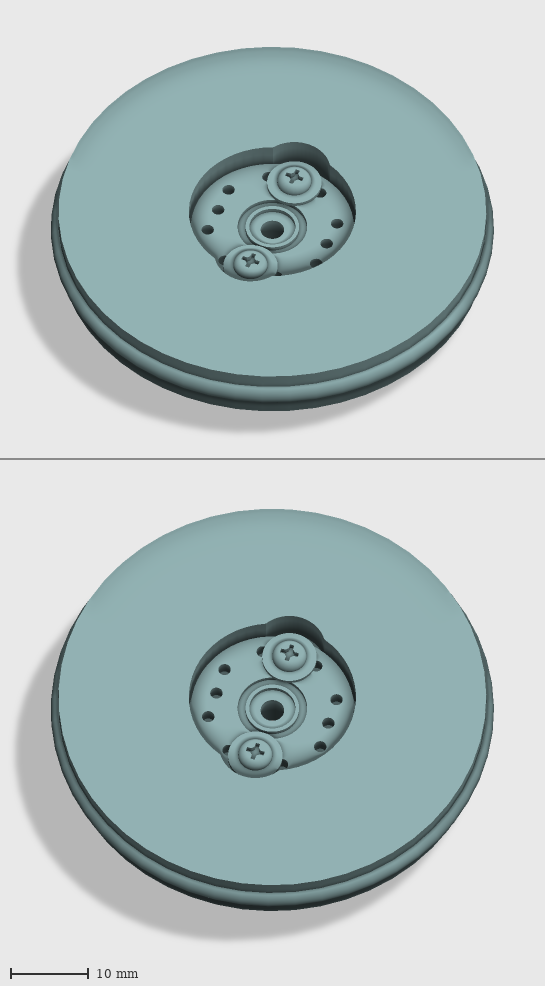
import cadquery as cq
wheel_diameter = 55.0
wheel_height = 7.0
wheel_bottom = 0.0
wheel_top = wheel_bottom + wheel_height
wheel_middle = wheel_bottom + wheel_height / 2

tyre_outer_diameter = 57.0
tyre_cord_diameter = 3.0
tyre_center_radius = (tyre_outer_diameter - tyre_cord_diameter) / 2

pocket_diameter = 21.5
lobe_diameter = 9.3
hub_top_depth = 3.0
hub_top = wheel_top - hub_top_depth

hub_disc_diameter = 21.0
hub_disc_thickness = 2.0
pocket_floor = hub_top - hub_disc_thickness
hub_boss_diameter = 8.8
hub_boss_bottom = wheel_bottom - 2.1
shaft_hole_diameter = 3.0
collar_outer_diameter = 6.9
collar_inner_diameter = 5.9
collar_groove_diameter = 8.95
collar_depth = 0.6

screw_offset = 7.5
small_hole_diameter = 1.6
small_hole_pitch = 3.6

shank_diameter = 2.4
shank_bottom = wheel_bottom - 1.55
flange_diameter = 7.0
flange_thickness = 0.5
head_diameter = 4.4
head_height = 1.15
head_flat_diameter = 2.4
head_rounding = (head_diameter - head_flat_diameter) / 2
cross_width = 0.55
cross_core_width = 1.25
cross_depth = 0.85

screw_places = [(0, -screw_offset), (0, screw_offset)]


def cylinder(diameter, bottom, top, places=((0, 0),)):
    """Upright cylinders between two heights, one at each place."""
    return (
        cq.Workplane("XY", origin=(0, 0, bottom))
        .pushPoints(list(places))
        .circle(diameter / 2)
        .extrude(top - bottom)
    )


def make_tyre():
    """Ring of round cord centred on the wheel's mid height."""
    return (
        cq.Workplane("XZ", origin=(0, 0, wheel_middle))
        .center(tyre_center_radius, 0)
        .circle(tyre_cord_diameter / 2)
        .revolve(360, (-tyre_center_radius, 0), (-tyre_center_radius, 1))
    )


def make_wheel():
    wheel = cylinder(wheel_diameter, wheel_bottom, wheel_top)
    wheel = wheel.cut(make_tyre())
    wheel = wheel.cut(cylinder(pocket_diameter, pocket_floor, wheel_top))
    wheel = wheel.cut(cylinder(lobe_diameter, pocket_floor, wheel_top, screw_places))
    wheel = wheel.cut(cylinder(hub_boss_diameter, wheel_bottom, pocket_floor))
    return wheel.cut(cylinder(shank_diameter, wheel_bottom, pocket_floor, screw_places))


def small_hole_places():
    """Rows of three on the left and right, and one hole on each side of both screws."""
    places = []
    for side in (-1, 1):
        for step in (-1, 0, 1):
            places.append((side * screw_offset, step * small_hole_pitch))
        for _, screw_y in screw_places:
            places.append((side * small_hole_pitch, screw_y))
    return places


def make_hub():
    hub = cylinder(hub_disc_diameter, pocket_floor, hub_top)
    hub = hub.union(cylinder(hub_boss_diameter, hub_boss_bottom, pocket_floor))
    collar_floor = hub_top - collar_depth
    collar = cylinder(collar_outer_diameter, collar_floor, hub_top)
    hub = hub.cut(cylinder(collar_groove_diameter, collar_floor, hub_top).cut(collar))
    hub = hub.cut(cylinder(collar_inner_diameter, collar_floor, hub_top))
    hub = hub.cut(cylinder(shaft_hole_diameter, hub_boss_bottom, hub_top))
    hub = hub.cut(cylinder(small_hole_diameter, pocket_floor, hub_top, small_hole_places()))
    return hub.cut(cylinder(shank_diameter, pocket_floor, hub_top, screw_places))


def make_cross_recess(head_top):
    """Cross-shaped driver recess with a diagonal square core, within the flat of the head."""
    recess = cq.Workplane("XY", origin=(0, 0, head_top)).rect(cross_width, head_flat_diameter)
    recess = recess.extrude(-cross_depth)
    recess = recess.union(recess.rotate((0, 0, 0), (0, 0, 1), 90))
    core = cq.Workplane("XY", origin=(0, 0, head_top)).rect(cross_core_width, cross_core_width)
    core = core.extrude(-cross_depth).rotate((0, 0, 0), (0, 0, 1), 45)
    return recess.union(core).intersect(cylinder(head_flat_diameter, head_top - cross_depth, head_top))


def make_screw(x, y):
    """Flanged pan-head screw standing through the hub and the wheel."""
    flange_top = hub_top + flange_thickness
    head_top = flange_top + head_height
    head = cylinder(head_diameter, flange_top, head_top).faces(">Z").edges().fillet(head_rounding)
    screw = cylinder(shank_diameter, shank_bottom, hub_top)
    screw = screw.union(cylinder(flange_diameter, hub_top, flange_top))
    screw = screw.union(head).cut(make_cross_recess(head_top))
    return screw.translate((x, y, 0))


wheel = make_wheel()
tyre = make_tyre()
hub = make_hub()
screws = [make_screw(x, y) for x, y in screw_places]

result = cq.Compound.makeCompound([wheel.val(), tyre.val(), hub.val(), *[screw.val() for screw in screws]])